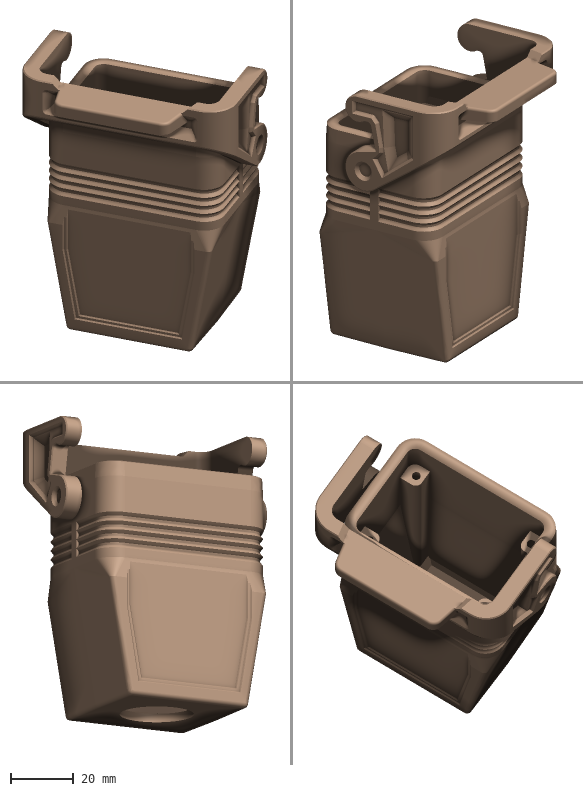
import cadquery as cq
import math

BODY_HALF_X = 29.9
BODY_HALF_Y = 21.4
BODY_TOP_Z = 76.8
BODY_CORNER_R = 7.1
LIP_Z = 71.5
LIP_LEAN = 0.3
RIM_WALL = 3.7
RIM_CROWN = 0.6
BASE_HALF_Y = 22.4
BASE_FOOT_HALF_X = 22.0
BASE_CORNER_R = 1.6
BASE_SIDE_POINT = 0.5
SHOULDER_TOP_Z = 44.9
SHOULDER_LOW_Z = 38.1
FOOT_ROUND = 1.5

GROOVE_COUNT = 4
GROOVE_LOW_Z = 48.0
GROOVE_HIGH_Z = 59.7
GROOVE_DEPTH = 0.9
GROOVE_FLOOR = 0.75
GROOVE_BRIDGE = 3.2

PANEL_HALF_X = 22.6
PANEL_FOOT_HALF_X = 18.4
PANEL_TOP_Z = 45.8
PANEL_BEND_Z = 29.25
PANEL_LOW_Z = 4.6
PANEL_DEPTH = 0.8
PANEL_STEPS = 2
PANEL_STEP_INSET = 1.2
PANEL_WALL_ANGLE = 45

CAVITY_HALF_X = BODY_HALF_X - LIP_LEAN - RIM_WALL
CAVITY_HALF_Y = BODY_HALF_Y - LIP_LEAN - RIM_WALL
CAVITY_CORNER_R = BODY_CORNER_R - LIP_LEAN - RIM_WALL
CAVITY_WAIST_X = 22.7
CAVITY_WAIST_TOP_Z = 67.3
CAVITY_FLOOR_LEFT_X = -20.1
CAVITY_FLOOR_RIGHT_X = 15.9
CAVITY_FLOOR_BACK_Y = 16.2
CAVITY_FLOOR_FRONT_Y = -15.3
CAVITY_FLOOR_BEVEL = 1.2
FLOOR_Z = 2.8
CABLE_HOLE_R = 11.9
POST_INNER_X = 19.2
POST_INNER_Y = 10.3
POST_TOP_Z = 64.8
POST_CORNER_R = 2.3
POST_FLARE = 2.15
SCREW_X = 22.0
SCREW_Y = 13.6
SCREW_R = 1.4
SCREW_DEPTH = 11.2

LEVER_WIDTH = 72.6
LEVER_HALF_X = LEVER_WIDTH / 2
LEVER_TOP_Z = 93.45
LEVER_FRONT_Y = -29.7
ARM_INNER_X = 30.7
BAR_BACK_Y = -24.7
LEVER_BEND_R = 9.2
LEVER_INNER_BEND_R = 3.7
LEVER_EDGE = 0.4
BAR_LOW_Z = 80.0
PIVOT_Z = 67.7
PIVOT_LOBE_R = 7.0
HOOK_Y = 2.3
HOOK_R = 4.7
THROAT_TOP_Z = 84.9
THROAT_TOP = (-2.4, THROAT_TOP_Z)
THROAT_LOW = (-4.3, 75.9)
THROAT_R = 1.4
PIVOT_BOSS_R = 4.7
PIVOT_HOLE_R = 2.3
PIVOT_HOLE_DEPTH = 1.4
PIVOT_SINK = 0.9

TAB_TOP_Z = 91.4
TAB_TIP_Y = -38.8
TAB_ROOT_HALF_X = 22.4
TAB_TIP_HALF_X = 19.4
TAB_ROOT_LOW_Z = 86.6
TAB_TIP_LOW_Z = 87.4
TAB_CORNER_R = 3.3
TAB_TOP_ROUND = 0.9

WINDOW_HALF_X = 26.5
WINDOW_LOW_Z = 81.6
WINDOW_HIGH_Z = 90.55
WINDOW_DEPTH = 2.8
WINDOW_WALL_ANGLE = 48
WINDOW_CORNER_R = 1.4

ARM_RECESS = [
    (4.3, 91.3),
    (-18.8, 91.3),
    (-18.8, 75.9),
    (-7.0, 66.8),
    (-3.55, 72.7),
    (-6.0, 75.5),
    (-6.0, 77.1),
    (-4.5, 85.1),
    (-3.0, 86.8),
    (4.3, 86.8),
]
ARM_RECESS_DEPTH = 1.1
ARM_RECESS_WALL_ANGLE = 38
ARM_POCKET = [
    (-6.5, 90.1),
    (-17.6, 90.1),
    (-17.6, 76.35),
    (-16.3, 74.4),
    (-8.7, 69.0),
    (-7.1, 77.1),
]
ARM_POCKET_DEPTH = 2.3
ARM_POCKET_WALL_ANGLE = 50

RIM_EDGE_Z = BODY_TOP_Z - RIM_CROWN
SIDES = (-1, 1)
FLARE_ANGLE = 45
CLEARANCE = 0.9


def rounded_prism(half_x, half_y, corner_r, low_z, height, taper=0):
    """Upright rounded rectangle centred on the Z axis."""
    outline = cq.Sketch().rect(2 * half_x, 2 * half_y).vertices().fillet(corner_r)
    return cq.Workplane("XY", origin=(0, 0, low_z)).placeSketch(outline).extrude(height, taper=taper)


def mirrored_points(right_half):
    """Close an outline that is symmetric about x = 0, given its right half from one end to the other."""
    return right_half + [(-x, y) for x, y in reversed(right_half)]


def tangent_point(outside, center, radius, turn):
    """Point where a line from `outside` touches a circle; turn (+1 or -1) picks one of the two."""
    dx, dy = outside[0] - center[0], outside[1] - center[1]
    angle = math.atan2(dy, dx) + turn * math.acos(radius / math.hypot(dx, dy))
    return center[0] + radius * math.cos(angle), center[1] + radius * math.sin(angle)


def polygon_face(*points):
    return cq.Face.makeFromWires(cq.Wire.makePolygon([cq.Vector(*p) for p in points], close=True))


def corner_arc(corner_x, corner_y, radius, z):
    """Quarter round that fills the corner at (+corner_x, -corner_y)."""
    reach = radius * (1 - math.sqrt(0.5))
    return cq.Edge.makeThreePointArc(
        cq.Vector(corner_x - radius, -corner_y, z),
        cq.Vector(corner_x - reach, -corner_y + reach, z),
        cq.Vector(corner_x, -corner_y + radius, z),
    )


def end_points(edge):
    return edge.startPoint().toTuple(), edge.endPoint().toTuple()


def lower_body():
    taper = (BODY_HALF_X - BASE_FOOT_HALF_X) / SHOULDER_TOP_Z
    foot_corner_x = BASE_FOOT_HALF_X - BASE_SIDE_POINT
    low_corner_x = foot_corner_x + taper * SHOULDER_LOW_Z
    top_arc = corner_arc(BODY_HALF_X, BODY_HALF_Y, BODY_CORNER_R, SHOULDER_TOP_Z)
    low_arc = corner_arc(low_corner_x, BASE_HALF_Y, BASE_CORNER_R, SHOULDER_LOW_Z)
    foot_arc = corner_arc(foot_corner_x, BASE_HALF_Y, BASE_CORNER_R, 0)
    top_front, top_side = end_points(top_arc)
    low_front, low_side = end_points(low_arc)
    foot_front, foot_side = end_points(foot_arc)
    apex = (BODY_HALF_X, 0, SHOULDER_TOP_Z)
    foot_middle = (BASE_FOOT_HALF_X, 0, 0)

    def on_center(point):
        return 0, point[1], point[2]

    quarter = [
        polygon_face(on_center(top_front), top_front, low_front, on_center(low_front)),
        polygon_face(on_center(low_front), low_front, foot_front, on_center(foot_front)),
        cq.Face.makeRuledSurface(top_arc, low_arc),
        cq.Face.makeRuledSurface(low_arc, foot_arc),
        polygon_face(top_side, apex, low_side),
        polygon_face(apex, foot_middle, foot_side, low_side),
    ]
    for arc, middle in ((top_arc, apex), (foot_arc, foot_middle)):
        front, side = end_points(arc)
        center = (0, 0, middle[2])
        corners = [side, middle, center, on_center(front), front]
        straight = [cq.Edge.makeLine(cq.Vector(*a), cq.Vector(*b)) for a, b in zip(corners, corners[1:])]
        quarter.append(cq.Face.makeFromWires(cq.Wire.assembleEdges([arc] + straight)))
    half = quarter + [face.mirror("YZ") for face in quarter]
    whole = half + [face.mirror("XZ") for face in half]
    solid = cq.Solid.makeSolid(cq.Shell.makeShell(whole))
    return cq.Workplane(solid).clean().faces("<Z").edges().fillet(FOOT_ROUND)


def upper_body():
    block = rounded_prism(BODY_HALF_X, BODY_HALF_Y, BODY_CORNER_R, SHOULDER_TOP_Z, LIP_Z - SHOULDER_TOP_Z)
    lip_height = RIM_EDGE_Z - LIP_Z
    lean_angle = math.degrees(math.atan2(LIP_LEAN, lip_height))
    lip = rounded_prism(BODY_HALF_X, BODY_HALF_Y, BODY_CORNER_R, LIP_Z, lip_height, lean_angle)
    half_wall = RIM_WALL / 2
    inset = LIP_LEAN + half_wall
    path = (
        rounded_prism(BODY_HALF_X - inset, BODY_HALF_Y - inset, BODY_CORNER_R - inset, RIM_EDGE_Z, RIM_CROWN)
        .faces("<Z")
        .wires()
        .val()
    )
    start = path.startPoint()
    along = path.tangentAt(0)
    across = cq.Vector(0, 0, 1).cross(along)
    crown = (
        cq.Workplane(cq.Plane(start, xDir=across, normal=along))
        .moveTo(-half_wall, 0)
        .threePointArc((0, RIM_CROWN), (half_wall, 0))
        .close()
        .sweep(cq.Workplane(path), transition="round")
    )
    return block.union(lip).union(crown)


def grip_grooves():
    """Flat-bottomed V grooves around the upper body, interrupted at the middle of each side."""
    pitch = (GROOVE_HIGH_Z - GROOVE_LOW_Z) / GROOVE_COUNT
    flank = (pitch - GROOVE_FLOOR) / 2
    flank_angle = math.degrees(math.atan2(GROOVE_DEPTH, flank))
    neck_x, neck_y = BODY_HALF_X - GROOVE_DEPTH, BODY_HALF_Y - GROOVE_DEPTH
    neck_r = BODY_CORNER_R - GROOVE_DEPTH
    blank_x, blank_y = BODY_HALF_X + CLEARANCE, BODY_HALF_Y + CLEARANCE
    ring = rounded_prism(blank_x, blank_y, BODY_CORNER_R, GROOVE_LOW_Z, GROOVE_HIGH_Z - GROOVE_LOW_Z)
    for index in range(GROOVE_COUNT):
        middle_z = GROOVE_LOW_Z + (index + 0.5) * pitch
        for direction in SIDES:
            step = direction * GROOVE_FLOOR / 2
            ring = ring.cut(rounded_prism(neck_x, neck_y, neck_r, middle_z, step))
            ring = ring.cut(
                rounded_prism(neck_x, neck_y, neck_r, middle_z + step, direction * flank, -flank_angle)
            )
    bridge = cq.Workplane("XY").box(4 * BODY_HALF_X, GROOVE_BRIDGE, 4 * BODY_TOP_Z)
    return ring.cut(bridge)


def panel_recess():
    """Recess whose sloped border goes down in equal steps."""
    step_depth = PANEL_DEPTH / PANEL_STEPS
    recess = cq.Workplane("XZ")
    for step in range(PANEL_STEPS):
        inset = step * PANEL_STEP_INSET
        outline = mirrored_points([
            (PANEL_FOOT_HALF_X - inset, PANEL_LOW_Z + inset),
            (PANEL_HALF_X - inset, PANEL_BEND_Z),
            (PANEL_HALF_X - inset, PANEL_TOP_Z),
        ])
        recess = recess.union(
            cq.Workplane("XZ", origin=(0, -BASE_HALF_Y + step * step_depth, 0))
            .polyline(outline)
            .close()
            .extrude(-step_depth, taper=PANEL_WALL_ANGLE)
        )
    return recess


def screw_post():
    """Post in the +X +Y corner, flared where it meets the floor; its outer sides lie inside the walls."""

    def block(grow, height, taper):
        size_x = BODY_HALF_X - POST_INNER_X + grow
        size_y = BODY_HALF_Y - POST_INNER_Y + grow
        outline = cq.Sketch().rect(2 * size_x, 2 * size_y).vertices().fillet(POST_CORNER_R + grow)
        return (
            cq.Workplane("XY", origin=(BODY_HALF_X, BODY_HALF_Y, FLOOR_Z))
            .placeSketch(outline)
            .extrude(height, taper=taper)
        )

    return block(0, POST_TOP_Z - FLOOR_Z, 0).union(block(POST_FLARE, POST_FLARE, FLARE_ANGLE))


def cavity():
    open_z = BODY_TOP_Z + CLEARANCE
    lengthwise = (
        cq.Workplane("XZ", origin=(0, CAVITY_HALF_Y, 0))
        .polyline([
            (-CAVITY_HALF_X, open_z),
            (-CAVITY_HALF_X, SHOULDER_TOP_Z),
            (CAVITY_FLOOR_LEFT_X, FLOOR_Z),
            (CAVITY_FLOOR_RIGHT_X, FLOOR_Z),
            (CAVITY_WAIST_X, SHOULDER_TOP_Z),
            (CAVITY_HALF_X, CAVITY_WAIST_TOP_Z),
            (CAVITY_HALF_X, open_z),
        ])
        .close()
        .extrude(2 * CAVITY_HALF_Y)
    )
    crosswise = (
        cq.Workplane("YZ", origin=(-BODY_HALF_X, 0, 0))
        .polyline([
            (CAVITY_FLOOR_BACK_Y, FLOOR_Z),
            (CAVITY_HALF_Y, SHOULDER_TOP_Z),
            (CAVITY_HALF_Y, open_z),
            (-CAVITY_HALF_Y, open_z),
            (-CAVITY_HALF_Y, SHOULDER_TOP_Z),
            (CAVITY_FLOOR_FRONT_Y, FLOOR_Z),
        ])
        .close()
        .extrude(2 * BODY_HALF_X)
    )
    upright = rounded_prism(CAVITY_HALF_X, CAVITY_HALF_Y, CAVITY_CORNER_R, 0, open_z)
    hollow = lengthwise.intersect(crosswise).intersect(upright)
    hollow = hollow.faces("<Z").edges().chamfer(CAVITY_FLOOR_BEVEL)
    for side_x in SIDES:
        for side_y in SIDES:
            post = screw_post()
            if side_x < 0:
                post = post.mirror("YZ")
            if side_y < 0:
                post = post.mirror("XZ")
            hollow = hollow.cut(post)
    cable_hole = cq.Workplane("XY").circle(CABLE_HOLE_R).extrude(FLOOR_Z + CLEARANCE)
    screw_holes = (
        cq.Workplane("XY", origin=(0, 0, POST_TOP_Z))
        .rect(2 * SCREW_X, 2 * SCREW_Y, forConstruction=True)
        .vertices()
        .circle(SCREW_R)
        .extrude(-SCREW_DEPTH)
    )
    return hollow.union(cable_hole).union(screw_holes)


def lever_side_profile():
    """Hook, throat and pivot lobe of an arm, extruded across the full lever width."""
    pivot = (0, PIVOT_Z)
    hook = (HOOK_Y, LEVER_TOP_Z - HOOK_R)
    front_low = (LEVER_FRONT_Y, BAR_LOW_Z)
    lobe_low = tangent_point(front_low, pivot, PIVOT_LOBE_R, 1)
    lobe_high = tangent_point(THROAT_LOW, pivot, PIVOT_LOBE_R, -1)
    hook_drop = THROAT_TOP_Z - hook[1]
    hook_end = (HOOK_Y - math.sqrt(HOOK_R**2 - hook_drop**2), THROAT_TOP_Z)
    return (
        cq.Workplane("YZ", origin=(-LEVER_HALF_X, 0, 0))
        .moveTo(HOOK_Y, LEVER_TOP_Z)
        .lineTo(LEVER_FRONT_Y, LEVER_TOP_Z)
        .lineTo(*front_low)
        .lineTo(*lobe_low)
        .threePointArc((PIVOT_LOBE_R, PIVOT_Z), lobe_high)
        .lineTo(*THROAT_LOW)
        .lineTo(*THROAT_TOP)
        .lineTo(*hook_end)
        .threePointArc((HOOK_Y + HOOK_R, hook[1]), (HOOK_Y, LEVER_TOP_Z))
        .close()
        .extrude(2 * LEVER_HALF_X)
        .edges(cq.selectors.NearestToPointSelector((0, *THROAT_TOP)))
        .fillet(THROAT_R)
    )


def lever_frame():
    """U-shaped bar in plan, cut to the side profile."""
    rear_y = HOOK_Y + HOOK_R + CLEARANCE
    height = LEVER_TOP_Z

    def plan_block(half_x, front_y, bend_r):
        return (
            cq.Workplane("XY")
            .box(2 * half_x, rear_y - front_y, height, centered=(True, False, False))
            .translate((0, front_y, 0))
            .edges("|Z and <Y")
            .fillet(bend_r)
        )

    frame = plan_block(LEVER_HALF_X, LEVER_FRONT_Y, LEVER_BEND_R)
    frame = frame.intersect(lever_side_profile())
    frame = frame.faces("<X or >X").edges().chamfer(LEVER_EDGE)
    return frame.cut(plan_block(ARM_INNER_X, BAR_BACK_Y, LEVER_INNER_BEND_R))


def tab_half_width(y):
    slope = (TAB_ROOT_HALF_X - TAB_TIP_HALF_X) / (BAR_BACK_Y - TAB_TIP_Y)
    return TAB_ROOT_HALF_X - slope * (BAR_BACK_Y - y)


def tab_plan(rear_y, front_y):
    return mirrored_points([(tab_half_width(rear_y), rear_y), (tab_half_width(front_y), front_y)])


def bar_notch():
    """Lowers the middle of the bar to the tab's top face, with flared ends."""
    return (
        cq.Workplane("XY", origin=(0, 0, TAB_TOP_Z))
        .polyline(tab_plan(0, TAB_TIP_Y))
        .close()
        .extrude(LEVER_TOP_Z - TAB_TOP_Z + CLEARANCE, taper=-FLARE_ANGLE)
    )


def bar_window():
    """Tapered recess in the front of the bar, around the root of the tab."""
    outline = (
        cq.Sketch()
        .rect(2 * WINDOW_HALF_X, WINDOW_HIGH_Z - WINDOW_LOW_Z)
        .vertices()
        .fillet(WINDOW_CORNER_R)
    )
    return (
        cq.Workplane("XZ", origin=(0, LEVER_FRONT_Y, (WINDOW_LOW_Z + WINDOW_HIGH_Z) / 2))
        .placeSketch(outline)
        .extrude(-WINDOW_DEPTH, taper=WINDOW_WALL_ANGLE)
    )


def thumb_tab():
    side = (
        cq.Workplane("YZ", origin=(-LEVER_HALF_X, 0, 0))
        .polyline([
            (BAR_BACK_Y, TAB_ROOT_LOW_Z),
            (BAR_BACK_Y, TAB_TOP_Z),
            (TAB_TIP_Y, TAB_TOP_Z),
            (TAB_TIP_Y, TAB_TIP_LOW_Z),
        ])
        .close()
        .extrude(2 * LEVER_HALF_X)
    )
    plan = (
        cq.Workplane("XY")
        .polyline(tab_plan(BAR_BACK_Y, TAB_TIP_Y))
        .close()
        .extrude(LEVER_TOP_Z)
        .edges("|Z and <Y")
        .fillet(TAB_CORNER_R)
    )
    tab = plan.intersect(side)
    return tab.faces(">Z").edges("not >Y").fillet(TAB_TOP_ROUND)


def arm_recess():
    """Stepped lightening recess in the outer face of the left arm."""
    outer = cq.Workplane("YZ", origin=(-LEVER_HALF_X, 0, 0))
    shallow = outer.polyline(ARM_RECESS).close().extrude(ARM_RECESS_DEPTH, taper=ARM_RECESS_WALL_ANGLE)
    deep = (
        outer.workplane(offset=ARM_RECESS_DEPTH)
        .polyline(ARM_POCKET)
        .close()
        .extrude(ARM_POCKET_DEPTH, taper=ARM_POCKET_WALL_ANGLE)
    )
    return shallow.union(deep)


def pivot_hole():
    outer = cq.Workplane("YZ", origin=(-LEVER_HALF_X, 0, PIVOT_Z))
    hole = outer.circle(PIVOT_HOLE_R).extrude(PIVOT_HOLE_DEPTH)
    sink = outer.circle(PIVOT_HOLE_R + PIVOT_SINK).extrude(PIVOT_SINK, taper=FLARE_ANGLE)
    return hole.union(sink)


def pivot_boss():
    """Round boss that joins the left arm to the body."""
    inset = RIM_WALL / 2
    return (
        cq.Workplane("YZ", origin=(-ARM_INNER_X, 0, PIVOT_Z))
        .circle(PIVOT_BOSS_R)
        .extrude(ARM_INNER_X - BODY_HALF_X + inset)
    )


body = lower_body().union(upper_body())
body = body.cut(grip_grooves())
panel = panel_recess()
body = body.cut(panel).cut(panel.mirror("XZ"))
body = body.cut(cavity())

lever = lever_frame().cut(bar_notch()).cut(bar_window()).union(thumb_tab())
boss = pivot_boss()
result = body.union(lever).union(boss).union(boss.mirror("YZ"))
for cutter in (arm_recess(), pivot_hole()):
    result = result.cut(cutter).cut(cutter.mirror("YZ"))